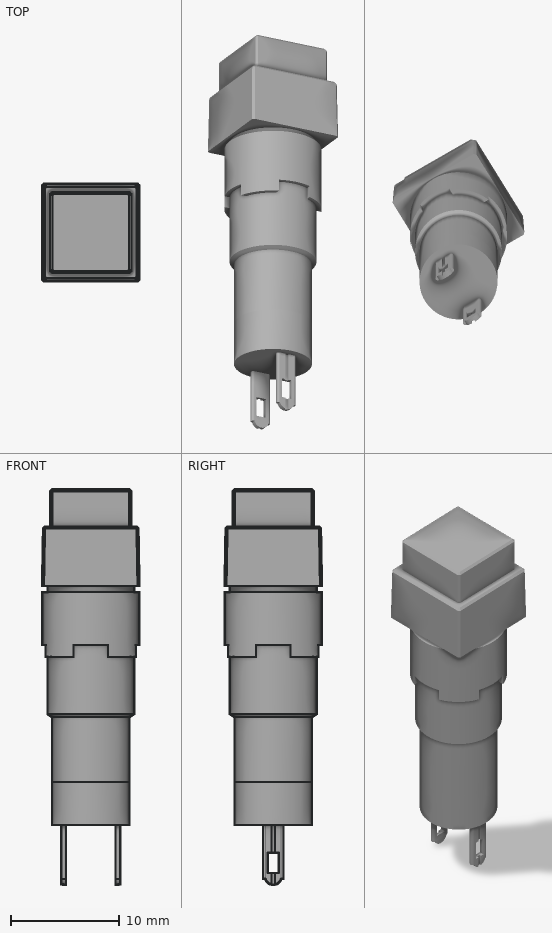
import cadquery as cq
top_z = 36.5
bezel_top_z = 33.07
bezel_bottom_z = 27.55
nut_top_z = 27.0
notch_top_z = 22.12
nut_bottom_z = 21.02
barrel_bottom_z = 15.48
seam_z = 9.5
base_bottom_z = 5.5

cap_width = 7.5
bezel_width = 9.0
bezel_draft = 1.0
edge_chamfer = 0.2
barrel_diameter = 8.03
lower_diameter = 7.2
barrel_chamfer_height = 0.3

nut_diameter = 8.98
notch_width = 3.2
notch_count = 4

terminal_spacing = 5.0
terminal_width = 1.95
terminal_thickness = 0.47
tip_height = 0.55
slot_width = 1.0
slot_bottom_z = 1.1
slot_top_z = 2.95
groove_width = 0.33
groove_depth = 0.2


def square_block(width, bottom_z, block_top_z, draft=0):
    """Square block narrowing upward by the draft angle, chamfered on its corners and top rim."""
    block = (
        cq.Workplane("XY", origin=(0, 0, bottom_z))
        .rect(width, width)
        .extrude(block_top_z - bottom_z, taper=draft)
    )
    corners = block.edges("not(#Z)")
    return corners.chamfer(edge_chamfer).faces(">Z").chamfer(edge_chamfer)


def cylinder(diameter, bottom_z, cylinder_top_z):
    height = cylinder_top_z - bottom_z
    return cq.Workplane("XY", origin=(0, 0, bottom_z)).circle(diameter / 2).extrude(height)


def make_housing():
    """Cap, bezel and stepped barrel in one piece, down to the seam with the base."""
    cap = square_block(cap_width, bezel_top_z, top_z)
    bezel = square_block(bezel_width, bezel_bottom_z, bezel_top_z, bezel_draft)
    barrel_step = (barrel_diameter - lower_diameter) / 2
    barrel = cylinder(barrel_diameter, barrel_bottom_z, bezel_bottom_z)
    barrel = barrel.faces("<Z").chamfer(barrel_chamfer_height, barrel_step)
    lower_barrel = cylinder(lower_diameter, seam_z, barrel_bottom_z)
    return cap.union(bezel).union(barrel).union(lower_barrel)


def make_nut():
    """Sleeve around the barrel with notches in its lower rim."""
    nut = cylinder(nut_diameter, nut_bottom_z, nut_top_z)
    nut = nut.cut(cylinder(barrel_diameter, nut_bottom_z, nut_top_z))
    notch = (
        cq.Workplane("XY", origin=(0, 0, nut_bottom_z))
        .center(nut_diameter / 2, 0)
        .rect(nut_diameter / 2, notch_width)
        .extrude(notch_top_z - nut_bottom_z)
    )
    for index in range(notch_count):
        angle = index * 360 / notch_count
        nut = nut.cut(notch.rotate((0, 0, 0), (0, 0, 1), angle))
    return nut


def make_terminal(side):
    """Blade with rounded long edges, a narrower arched tip, a slot and a groove on its outer face."""
    half_thickness = terminal_thickness / 2
    half_tip_width = terminal_width / 2 - half_thickness
    centre_x = side * terminal_spacing / 2
    shank = (
        cq.Workplane("XY", origin=(centre_x, 0, tip_height))
        .slot2D(terminal_width, terminal_thickness, 90)
        .extrude(base_bottom_z - tip_height)
    )
    tip = (
        cq.Workplane("YZ", origin=(centre_x, 0, 0))
        .moveTo(-half_tip_width, tip_height)
        .threePointArc((0, 0), (half_tip_width, tip_height))
        .close()
        .extrude(half_thickness, both=True)
    )
    slot = (
        cq.Workplane("YZ", origin=(centre_x, 0, (slot_bottom_z + slot_top_z) / 2))
        .rect(slot_width, slot_top_z - slot_bottom_z)
        .extrude(half_thickness, both=True)
    )
    outer_x = centre_x + side * half_thickness
    groove = (
        cq.Workplane("XY", origin=(outer_x, 0, 0))
        .rect(2 * groove_depth, groove_width)
        .extrude(base_bottom_z)
    )
    return shank.union(tip).cut(slot).cut(groove)


def make_base():
    """Cylindrical base carrying the two terminals."""
    base = cylinder(lower_diameter, base_bottom_z, seam_z)
    for side in (-1, 1):
        base = base.union(make_terminal(side))
    return base


housing = make_housing()
nut = make_nut()
base = make_base()

result = cq.Compound.makeCompound([housing.val(), nut.val(), base.val()])